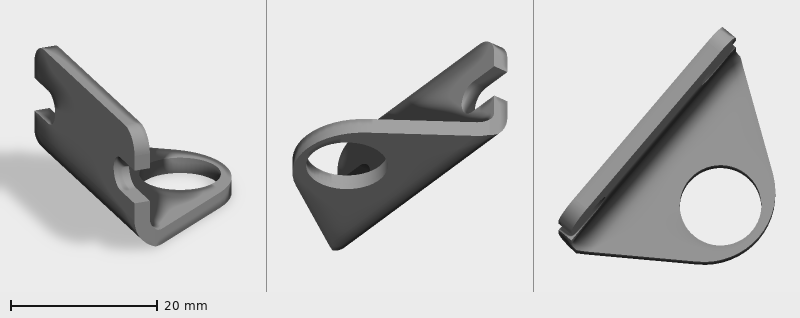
import cadquery as cq
import math

width = 35.05
depth = 21.05
height = 17.52

thickness = 2.28
inner_bend_radius = 2.28
outer_bend_radius = inner_bend_radius + thickness

corner_radius = 3.3
slot_width = 4.87
slot_depth = 7.3
slot_height = 9.6

nose_radius = 9.75
flank_start = 3.12
hole_diameter = 11.18
hole_distance = 14.23


def bent_sheet():
    """L-shaped sheet with its front face at y = 0 and underside at z = 0."""
    outer_bend_mid = outer_bend_radius * (1 - math.sqrt(0.5))
    inner_bend_mid = outer_bend_radius - inner_bend_radius * math.sqrt(0.5)
    return (
        cq.Workplane("YZ")
        .moveTo(0, height)
        .lineTo(0, outer_bend_radius)
        .threePointArc((outer_bend_mid, outer_bend_mid), (outer_bend_radius, 0))
        .lineTo(depth, 0)
        .lineTo(depth, thickness)
        .lineTo(outer_bend_radius, thickness)
        .threePointArc((inner_bend_mid, inner_bend_mid), (thickness, outer_bend_radius))
        .lineTo(thickness, height)
        .close()
        .extrude(width / 2, both=True)
    )


def plan_outline():
    """Tall prism with the plan shape of the bracket."""
    half_width = width / 2
    nose_center = depth - nose_radius
    rise = nose_center - flank_start
    corner_distance = math.hypot(half_width, rise)
    tangent_angle = math.acos(nose_radius / corner_distance) - math.atan2(rise, half_width)
    tangent_x = nose_radius * math.cos(tangent_angle)
    tangent_y = nose_center + nose_radius * math.sin(tangent_angle)
    return (
        cq.Workplane("XY")
        .moveTo(-half_width, 0)
        .lineTo(half_width, 0)
        .lineTo(half_width, flank_start)
        .lineTo(tangent_x, tangent_y)
        .threePointArc((0, depth), (-tangent_x, tangent_y))
        .lineTo(-half_width, flank_start)
        .close()
        .extrude(height)
    )


def side_slot(side):
    """Round-ended slot open to the left (side = -1) or right (side = 1)."""
    return (
        cq.Workplane("XZ")
        .center(side * width / 2, slot_height)
        .slot2D(2 * slot_depth, slot_width)
        .extrude(-thickness)
    )


sheet = bent_sheet().intersect(plan_outline())

result = sheet.edges("|Y and >Z").fillet(corner_radius)

for side in (-1, 1):
    result = result.cut(side_slot(side))

hole = cq.Workplane("XY").center(0, hole_distance).circle(hole_diameter / 2).extrude(thickness)
result = result.cut(hole)